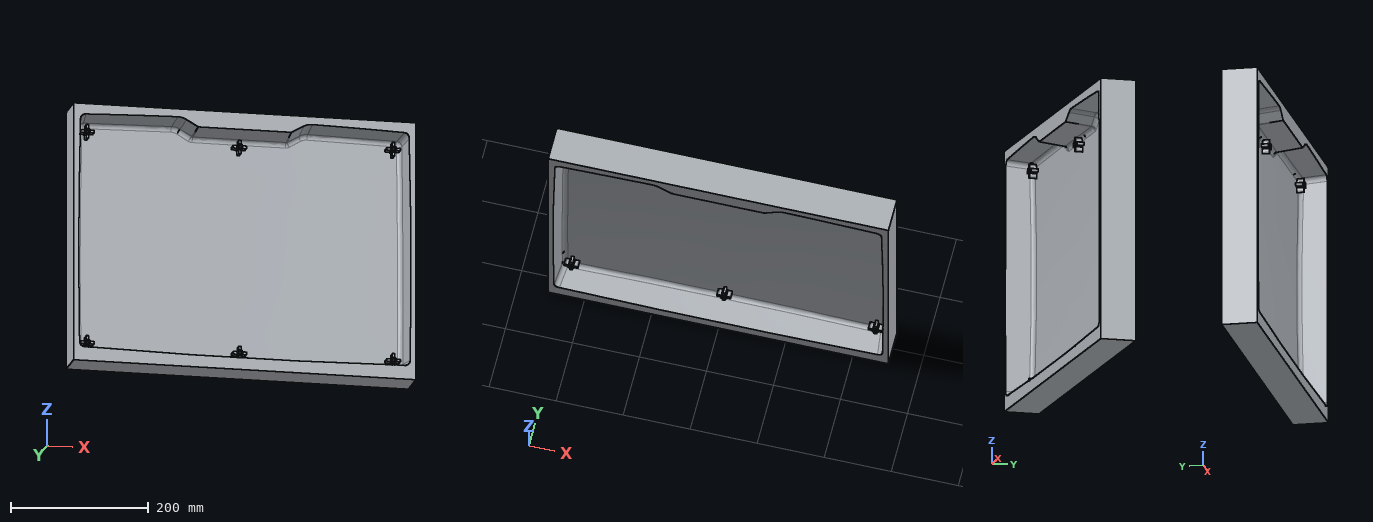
import cadquery as cq
import math

WIDTH = 508.0
DEPTH = 53.09
HEIGHT = 387.35

OPENING_TOP_CORNER_X = 243.5
OPENING_TOP_CORNER_Z = 371.0
OPENING_BOTTOM_CORNER_X = 245.0
OPENING_BOTTOM_CORNER_Z = 21.0
SIDE_BOW_X = 246.3
SIDE_BOW_Z = 180.0
BOTTOM_BOW_Z = 17.5
OPENING_CORNER_RADIUS = 8.0

STEP_OUTER_X = 93.0
STEP_OUTER_Z = 375.3
STEP_INNER_X = 69.0
STEP_INNER_Z = 361.7
STEP_BLEND_RADIUS = 25.0
UPPER_EDGE_BOW = 0.4

WALL_DRAFT = 6.5
FLOOR_CENTRE_THICKNESS = 5.7
FLOOR_RADIUS_ACROSS = 7000.0
FLOOR_RADIUS_UPRIGHT = 4500.0
FLOOR_FILLET_RADIUS = 7.0

POST_SIDE_X = 227.0
POST_SIDE_Z_UPPER = 354.0
POST_CENTRE_Z_UPPER = 345.0
POST_SIDE_Z_LOWER = 36.0
POST_CENTRE_Z_LOWER = 34.5
POST_DIAMETER = 8.5
POST_HOLE_DIAMETER = 4.0
POST_HEIGHT = 12.0
POST_ROOT_INSET = 2.0
RIB_REACH = 10.5
RIB_THICKNESS = 4.0
RIB_HEIGHT = 10.5

CAVITY_CENTRE_Z = (OPENING_TOP_CORNER_Z + OPENING_BOTTOM_CORNER_Z) / 2
FLOOR_CENTRE_Y = DEPTH - FLOOR_CENTRE_THICKNESS


def arc_drop(radius, distance):
    """How far an arc falls away from its tangent at a distance from the touching point."""
    return radius - math.sqrt(radius**2 - distance**2)


def floor_y(x, z):
    """Y of the dished floor at a place on the tray."""
    upright_drop = arc_drop(FLOOR_RADIUS_UPRIGHT, z - CAVITY_CENTRE_Z)
    return FLOOR_CENTRE_Y - upright_drop - arc_drop(FLOOR_RADIUS_ACROSS - upright_drop, x)


def make_dish():
    """Space in front of the floor: an upright arc swept along a wider arc across the tray."""
    axis_y = FLOOR_CENTRE_Y - FLOOR_RADIUS_ACROSS
    half_height = HEIGHT / 2
    end_y = FLOOR_CENTRE_Y - arc_drop(FLOOR_RADIUS_UPRIGHT, half_height)
    bottom_z = CAVITY_CENTRE_Z - half_height
    top_z = CAVITY_CENTRE_Z + half_height
    sweep_angle = 2 * math.degrees(math.asin(WIDTH / FLOOR_RADIUS_ACROSS))
    dish = (
        cq.Workplane("YZ")
        .moveTo(axis_y, bottom_z)
        .lineTo(end_y, bottom_z)
        .threePointArc((FLOOR_CENTRE_Y, CAVITY_CENTRE_Z), (end_y, top_z))
        .lineTo(axis_y, top_z)
        .close()
        .revolve(sweep_angle, (axis_y, 0), (axis_y, 1))
    )
    return dish.rotate((0, axis_y, 0), (0, axis_y, 1), -sweep_angle / 2)


def make_body():
    return cq.Workplane("XY").box(WIDTH, DEPTH, HEIGHT, centered=(True, False, False))


def corner_region(half_width):
    """Selects edges centred between the front and the back, so only the corner edges of the pocket."""
    quarter_depth = DEPTH / 4
    return cq.selectors.BoxSelector(
        (-half_width, quarter_depth, 0), (half_width, DEPTH - quarter_depth, HEIGHT))


def make_cavity():
    """Drafted pocket with bowed sides, a stepped upper edge and a dished floor."""
    upper_mid_x = (OPENING_TOP_CORNER_X + STEP_OUTER_X) / 2
    upper_mid_z = (OPENING_TOP_CORNER_Z + STEP_OUTER_Z) / 2 + UPPER_EDGE_BOW
    opening = (
        cq.Workplane("XZ")
        .moveTo(-OPENING_BOTTOM_CORNER_X, OPENING_BOTTOM_CORNER_Z)
        .threePointArc((0, BOTTOM_BOW_Z), (OPENING_BOTTOM_CORNER_X, OPENING_BOTTOM_CORNER_Z))
        .threePointArc((SIDE_BOW_X, SIDE_BOW_Z), (OPENING_TOP_CORNER_X, OPENING_TOP_CORNER_Z))
        .threePointArc((upper_mid_x, upper_mid_z), (STEP_OUTER_X, STEP_OUTER_Z))
        .lineTo(STEP_INNER_X, STEP_INNER_Z)
        .lineTo(-STEP_INNER_X, STEP_INNER_Z)
        .lineTo(-STEP_OUTER_X, STEP_OUTER_Z)
        .threePointArc((-upper_mid_x, upper_mid_z), (-OPENING_TOP_CORNER_X, OPENING_TOP_CORNER_Z))
        .threePointArc((-SIDE_BOW_X, SIDE_BOW_Z), (-OPENING_BOTTOM_CORNER_X, OPENING_BOTTOM_CORNER_Z))
        .close()
    )
    pocket = opening.extrude(-DEPTH, taper=WALL_DRAFT)
    middle_region = corner_region(OPENING_TOP_CORNER_X / 2)
    whole_region = corner_region(WIDTH / 2)
    pocket = pocket.edges(whole_region - middle_region).fillet(OPENING_CORNER_RADIUS)
    pocket = pocket.edges(middle_region).fillet(STEP_BLEND_RADIUS)
    pocket = pocket.intersect(make_dish())
    return pocket.faces(">Y").edges().fillet(FLOOR_FILLET_RADIUS)


def make_post(x, z):
    """Hollow screw post with four round-ended ribs, rooted in the floor behind it."""
    base_y = floor_y(x, z)
    top_y = base_y - POST_HEIGHT
    root_y = DEPTH - POST_ROOT_INSET
    rib_length = root_y - (base_y - RIB_HEIGHT)
    footing = cq.Workplane("XZ", origin=(x, root_y, z))
    post = footing.circle(POST_DIAMETER / 2).extrude(root_y - top_y)
    for angle in (0, 90):
        post = post.union(footing.slot2D(2 * RIB_REACH, RIB_THICKNESS, angle).extrude(rib_length))
    hole = cq.Workplane("XZ", origin=(x, base_y, z)).circle(POST_HOLE_DIAMETER / 2).extrude(POST_HEIGHT)
    return post.cut(hole)


def make_part():
    part = make_body().cut(make_cavity())
    for x, upper_z, lower_z in (
        (-POST_SIDE_X, POST_SIDE_Z_UPPER, POST_SIDE_Z_LOWER),
        (0, POST_CENTRE_Z_UPPER, POST_CENTRE_Z_LOWER),
        (POST_SIDE_X, POST_SIDE_Z_UPPER, POST_SIDE_Z_LOWER),
    ):
        for z in (upper_z, lower_z):
            part = part.union(make_post(x, z))
    return part


result = make_part()